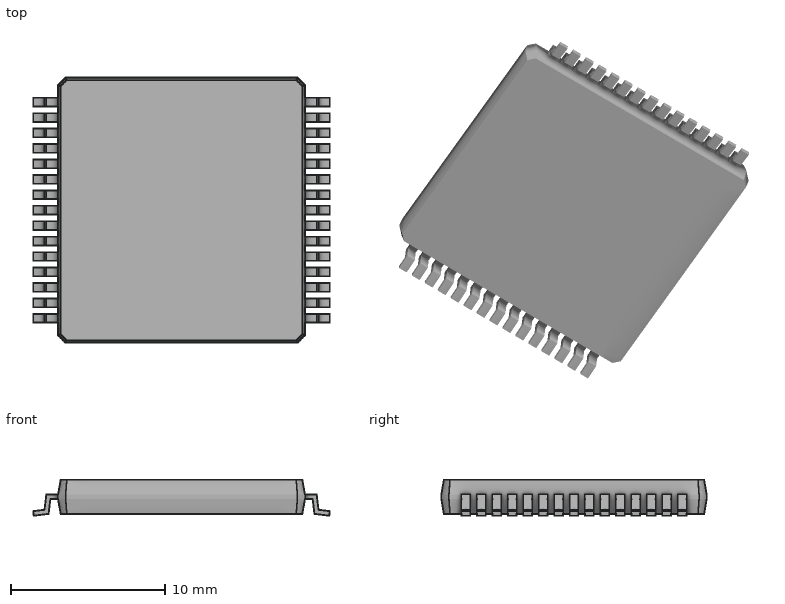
import math

import cadquery as cq

OVERALL_LENGTH = 19.23
OVERALL_HEIGHT = 2.35

BODY_X = 16.0
BODY_Y = 17.2
BODY_HEIGHT = 2.24
BAND_HEIGHT = 0.31
HALF_HEIGHT = (BODY_HEIGHT - BAND_HEIGHT) / 2
DRAFT_ANGLE = 10.0
CORNER_CHAMFER = 0.5
BAND_TOP = OVERALL_HEIGHT - HALF_HEIGHT
BAND_BOTTOM = BAND_TOP - BAND_HEIGHT

LEADS_PER_SIDE = 15
LEAD_PITCH = 1.0
LEAD_WIDTH = 0.58
LEAD_THICKNESS = BAND_HEIGHT
LEAD_TILT = math.radians(7.0)
LEAD_EMBED = 0.3
SHOULDER_X = 8.76


def make_body():
    """Chamfered block whose upper and lower halves taper away from the band."""
    half_x = BODY_X / 2
    half_y = BODY_Y / 2
    flat_x = half_x - CORNER_CHAMFER
    flat_y = half_y - CORNER_CHAMFER
    corners = [
        (half_x, -flat_y),
        (half_x, flat_y),
        (flat_x, half_y),
        (-flat_x, half_y),
        (-half_x, flat_y),
        (-half_x, -flat_y),
        (-flat_x, -half_y),
        (flat_x, -half_y),
    ]

    def layer(z, height, draft=0):
        outline = cq.Workplane("XY", origin=(0, 0, z)).polyline(corners).close()
        return outline.extrude(height, taper=draft)

    band = layer(BAND_BOTTOM, BAND_HEIGHT)
    upper = layer(BAND_TOP, HALF_HEIGHT, DRAFT_ANGLE)
    lower = layer(BAND_BOTTOM, -HALF_HEIGHT, DRAFT_ANGLE)
    return band.union(upper).union(lower)


def lead_profile():
    """XZ outline of one lead on the +X side, with the tip underside at Z = 0."""
    slope = math.tan(LEAD_TILT)
    root_x = BODY_X / 2 - LEAD_EMBED
    shin_width = LEAD_THICKNESS / math.cos(LEAD_TILT)
    inner_bend_x = SHOULDER_X - shin_width + LEAD_THICKNESS * slope

    tip_top = (OVERALL_LENGTH / 2, LEAD_THICKNESS * math.cos(LEAD_TILT))
    tip_bottom = (tip_top[0] - LEAD_THICKNESS * math.sin(LEAD_TILT), 0)

    def shin_meets_foot(bend_x, bend_z, tip):
        """Crossing of the shin line from a bend point and the foot line to a tip point."""
        tip_x, tip_z = tip
        x = (bend_x + slope * (bend_z - tip_z - slope * tip_x)) / (1 - slope**2)
        return (x, tip_z + slope * (tip_x - x))

    instep = shin_meets_foot(SHOULDER_X, BAND_TOP, tip_top)
    heel = shin_meets_foot(inner_bend_x, BAND_BOTTOM, tip_bottom)
    return [
        (root_x, BAND_TOP),
        (SHOULDER_X, BAND_TOP),
        instep,
        tip_top,
        tip_bottom,
        heel,
        (inner_bend_x, BAND_BOTTOM),
        (root_x, BAND_BOTTOM),
    ]


def make_leads():
    """Matching rows of leads on the +X and -X sides."""
    profile = lead_profile()
    leads = []
    for index in range(LEADS_PER_SIDE):
        center_y = (index - (LEADS_PER_SIDE - 1) / 2) * LEAD_PITCH
        plane = cq.Workplane("XZ", origin=(0, center_y, 0))
        lead = plane.polyline(profile).close().extrude(LEAD_WIDTH / 2, both=True)
        leads.append(lead)
        leads.append(lead.mirror("YZ"))
    return leads


result = make_body()
for lead in make_leads():
    result = result.union(lead)